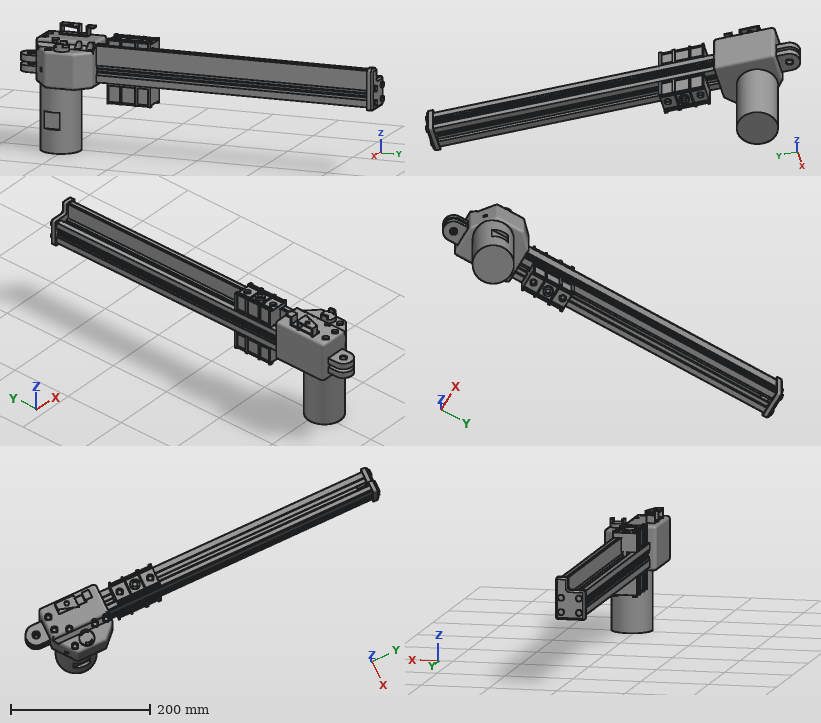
import cadquery as cq


RAIL_HALF = 17.5
RAIL_LENGTH = 418.0
FENCE_LEFT = 7.5
FENCE_TOP = 38.0
FENCE_CHAMFER = 1.5
SLOT_WIDTH = 5.5
MOUTH_LEFT = -9.0
MOUTH_DEPTH = 5.5
SIDE_GROOVE_HALVES = (7.0, 3.5, 1.5)
SIDE_STEP = 1.0
BORE_RADIUS = 9.0
SPINDLE_RADIUS = 5.5
SPINDLE_END_GAP = 14.5

CAP_THICKNESS = 9.5
CAP_MARGIN = 4.0
CAP_FENCE_MARGIN = 1.5
CAP_ROUND = 3.5
CAP_CHAMFER = 3.0
HEAD_RADIUS = 4.5
HEAD_HEIGHT = 2.0
HEAD_X = 13.0
HEAD_Z = 10.5

HOUSING_LEFT = -27.0
HOUSING_RIGHT = 54.0
HOUSING_LENGTH = 91.0
HOUSING_TOP = 42.0
HOUSING_BOTTOM = -23.5
HOUSING_ROUND = 4.5
CORNER_ROUND = 5.0
BACK_CORNER_X = 32.5
RIGHT_SIDE_BACK = -21.0
RIGHT_SIDE_FRONT = -65.5
FRONT_CORNER_X = 21.5
STEP_TOP = 31.0
SLOPE_START_X = 22.0
SLOPE_START_Z = 36.0
SLOPE_END_X = 29.0

SCREW_RADIUS = 5.0
SCREW_DEPTH = 5.5
SCREW_HEAD_RADIUS = 3.5
SCREW_HEAD_HEIGHT = 3.0
HIGH_SCREWS = [(-10.5, -82.0), (10.0, -82.0), (18.0, -62.5)]
SLOPE_SCREWS = [(25.0, -7.0), (25.0, -25.0)]
LOW_SCREWS = [(42.0, -64.5)]

WINDOW_X = 39.0
WINDOW_Z = -0.5
WINDOW_WIDTH = 4.0
WINDOW_HEIGHT = 5.5
WINDOW_FLOOR_Y = -74.5

SOCKET_X = 39.5
SOCKET_Y = -44.5
SOCKET_RADIUS = 11.0
SOCKET_INNER_RADIUS = 8.0
SOCKET_BASE_TOP = 37.0
PRONG_TOP = 42.5
PRONG_WIDTH = 10.0

CLEVIS_HALF = 15.5
CLEVIS_REACH = 15.5
CLEVIS_HOLE_RADIUS = 4.5
CLEVIS_HOLE_CHAMFER = 1.0
CLEVIS_PLATE = 10.0
CLEVIS_GAP = 5.5

MOTOR_X = 21.0
MOTOR_Y = -53.0
MOTOR_RADIUS = 30.0
MOTOR_BOTTOM = -120.0
NOTCH_DEPTH = 5.0
NOTCH_FRONT = 17.5
NOTCH_BACK = 9.0
NOTCH_BOTTOM = -85.0
NOTCH_HEIGHT = 25.5

BRACKET_TOP = 57.0
BRACKET_SHEET = 2.0
BRACKET_LEFT = -21.5
BRACKET_RIGHT = -7.0
STRIP_LEFT = -19.5
BRACKET_BACK = -23.0
BRACKET_FRONT = -67.0
HOOK_REACH = 9.0
LOOP_BACK = -37.5
LOOP_BACK_RIGHT = -2.0
LOOP_FRONT_RIGHT = -11.5
LOOP_HOLE = (-14.5, -51.5)
LOOP_HOLE_RADIUS = 3.5

CARRIAGE_START = 16.5
CARRIAGE_LENGTH = 67.0
CARRIAGE_END = CARRIAGE_START + CARRIAGE_LENGTH
CARRIAGE_HALF = 17.5
CARRIAGE_TOP = 47.5
NOTCH_LEFT = 5.0
TROUGH_HALF = 11.5
TROUGH_DEPTH = 2.0
BOSS_Y = 50.0
BOSS_RADIUS = 7.0
BOSS_HOLE_RADIUS = 4.0
BOSS_TOP = 49.0
RIDGE_GROOVES = (12.0, 14.0)
RIDGE_GROOVE = 1.0
CARRIAGE_SCREW_SPACING = 24.0
CROSS_GROOVE_SPACING = 11.0
CROSS_GROOVE = 1.5
PANEL_DEPTH = 2.0
PANEL_BOTTOM = 21.0
PANELS = [(2.0, 17.5), (22.0, 21.0), (47.0, 16.0)]


def box(x_range, y_range, z_range):
    """Axis-aligned box between the given limits."""
    sizes = [high - low for low, high in (x_range, y_range, z_range)]
    corner = (x_range[0], y_range[0], z_range[0])
    return cq.Workplane("XY").box(*sizes, centered=False).translate(corner)


def cylinder_z(center, radius, z_low, z_high):
    """Upright cylinder."""
    return cq.Workplane("XY", origin=(*center, z_low)).circle(radius).extrude(z_high - z_low)


def along_y(y_low):
    """Workplane whose local axes are X and Z and whose extrusions run toward +Y."""
    return cq.Workplane(cq.Plane(origin=(0, y_low, 0), xDir=(-1, 0, 0), normal=(0, 1, 0)))


def l_section(half, fence_left, fence_top, y_low, length):
    """Square bar with an upright fence on its +X side."""
    square = box((-half, half), (y_low, y_low + length), (-half, half))
    fence = box((fence_left, half), (y_low, y_low + length), (half, fence_top))
    return square.union(fence)


def make_rail():
    """Extrusion with a bore, a wide-mouthed slot from top to bottom and stepped side grooves."""
    rail = l_section(RAIL_HALF, FENCE_LEFT, FENCE_TOP, 0, RAIL_LENGTH)
    rail = rail.faces(">Z").edges("|Y").chamfer(FENCE_CHAMFER)
    slot_half = SLOT_WIDTH / 2
    mouth_floor = RAIL_HALF - MOUTH_DEPTH
    length = (0, RAIL_LENGTH)
    rail = rail.cut(box((-slot_half, slot_half), length, (-RAIL_HALF, RAIL_HALF)))
    for low, high in ((-RAIL_HALF, -mouth_floor), (mouth_floor, RAIL_HALF)):
        rail = rail.cut(box((MOUTH_LEFT, FENCE_LEFT), length, (low, high)))
    for count, half_width in enumerate(SIDE_GROOVE_HALVES, start=1):
        depth = count * SIDE_STEP
        for low in (-RAIL_HALF, RAIL_HALF - depth):
            rail = rail.cut(box((low, low + depth), length, (-half_width, half_width)))
    return rail.cut(along_y(0).circle(BORE_RADIUS).extrude(RAIL_LENGTH))


def make_end_cap():
    """Rounded L-shaped cap with four screw heads on its outer face."""
    cap = l_section(
        RAIL_HALF + CAP_MARGIN,
        FENCE_LEFT - CAP_MARGIN,
        FENCE_TOP + CAP_FENCE_MARGIN,
        RAIL_LENGTH,
        CAP_THICKNESS,
    )
    cap = cap.edges("|Y").fillet(CAP_ROUND)
    cap = cap.faces(">Y").edges().chamfer(CAP_CHAMFER)
    heads = (
        along_y(RAIL_LENGTH + CAP_THICKNESS)
        .rect(2 * HEAD_X, 2 * HEAD_Z, forConstruction=True)
        .vertices()
        .circle(HEAD_RADIUS)
        .extrude(HEAD_HEIGHT)
    )
    return cap.union(heads)


def make_housing_block(top):
    """Rounded block with slanted right-hand corners, up to the given height."""
    block = (
        cq.Workplane("XY", origin=(0, 0, HOUSING_BOTTOM))
        .polyline([
            (HOUSING_LEFT, 0),
            (BACK_CORNER_X, 0),
            (HOUSING_RIGHT, RIGHT_SIDE_BACK),
            (HOUSING_RIGHT, RIGHT_SIDE_FRONT),
            (FRONT_CORNER_X, -HOUSING_LENGTH),
            (HOUSING_LEFT, -HOUSING_LENGTH),
        ])
        .close()
        .extrude(top - HOUSING_BOTTOM)
    )
    block = block.edges("|Z").fillet(CORNER_ROUND)
    return block.faces("<Z or >Z").edges().fillet(HOUSING_ROUND)


def make_housing():
    """Full-height block cut back to a slope on its right, joined to the low block beside it."""
    high_part = (
        cq.Workplane("XZ")
        .moveTo(HOUSING_LEFT, HOUSING_BOTTOM)
        .lineTo(HOUSING_LEFT, HOUSING_TOP)
        .lineTo(SLOPE_START_X - HOUSING_ROUND, HOUSING_TOP)
        .radiusArc((SLOPE_START_X, HOUSING_TOP - HOUSING_ROUND), HOUSING_ROUND)
        .lineTo(SLOPE_START_X, SLOPE_START_Z)
        .lineTo(SLOPE_END_X, STEP_TOP)
        .lineTo(SLOPE_END_X, HOUSING_BOTTOM)
        .close()
        .extrude(HOUSING_LENGTH)
    )
    return make_housing_block(HOUSING_TOP).intersect(high_part).union(make_housing_block(STEP_TOP))


def add_screw_recess(body, center, surface, top):
    """Round recess below the given surface, opened up to the given top, with a head on its floor."""
    floor = surface - SCREW_DEPTH
    body = body.cut(cylinder_z(center, SCREW_RADIUS, floor, top))
    return body.union(cylinder_z(center, SCREW_HEAD_RADIUS, floor, floor + SCREW_HEAD_HEIGHT))


def add_housing_screws(housing):
    """Screw recesses on the high, the sloping and the low area of the housing top."""
    slope_level = (SLOPE_START_Z + STEP_TOP) / 2
    groups = [(HIGH_SCREWS, HOUSING_TOP), (SLOPE_SCREWS, slope_level), (LOW_SCREWS, STEP_TOP)]
    for centers, level in groups:
        for center in centers:
            housing = add_screw_recess(housing, center, level, HOUSING_TOP)
    return housing


def make_window():
    """Cutter for the small window in the slanted front face."""
    return box(
        (WINDOW_X - WINDOW_WIDTH / 2, WINDOW_X + WINDOW_WIDTH / 2),
        (-HOUSING_LENGTH, WINDOW_FLOOR_Y),
        (WINDOW_Z - WINDOW_HEIGHT / 2, WINDOW_Z + WINDOW_HEIGHT / 2),
    )


def make_socket():
    """Disc with two opposite upright prongs."""
    center = (SOCKET_X, SOCKET_Y)
    disc = cylinder_z(center, SOCKET_RADIUS, STEP_TOP, SOCKET_BASE_TOP)
    ring = cylinder_z(center, SOCKET_RADIUS, SOCKET_BASE_TOP, PRONG_TOP)
    ring = ring.cut(cylinder_z(center, SOCKET_INNER_RADIUS, SOCKET_BASE_TOP, PRONG_TOP))
    prong_band = box(
        (SOCKET_X - SOCKET_RADIUS, SOCKET_X + SOCKET_RADIUS),
        (SOCKET_Y - PRONG_WIDTH / 2, SOCKET_Y + PRONG_WIDTH / 2),
        (SOCKET_BASE_TOP, PRONG_TOP),
    )
    return disc.union(ring.intersect(prong_band))


def make_clevis():
    """Two parallel rounded lugs with a common pin hole."""
    center_y = -HOUSING_LENGTH - CLEVIS_REACH
    outline = (
        cq.Workplane("XY")
        .moveTo(-CLEVIS_HALF, -HOUSING_LENGTH)
        .lineTo(-CLEVIS_HALF, center_y)
        .threePointArc((0, center_y - CLEVIS_HALF), (CLEVIS_HALF, center_y))
        .lineTo(CLEVIS_HALF, -HOUSING_LENGTH)
        .close()
    )
    lug = outline.extrude(CLEVIS_PLATE)
    lug = lug.cut(cylinder_z((0, center_y), CLEVIS_HOLE_RADIUS, 0, CLEVIS_PLATE))
    lug = lug.edges("%CIRCLE").edges(cq.selectors.RadiusNthSelector(0)).chamfer(CLEVIS_HOLE_CHAMFER)
    upper = lug.translate((0, 0, CLEVIS_GAP / 2))
    lower = lug.translate((0, 0, -CLEVIS_GAP / 2 - CLEVIS_PLATE))
    return upper, lower


def make_motor():
    """Upright motor can with a notch on its +X side."""
    can = cylinder_z((MOTOR_X, MOTOR_Y), MOTOR_RADIUS, MOTOR_BOTTOM, HOUSING_BOTTOM + HOUSING_ROUND)
    right = MOTOR_X + MOTOR_RADIUS
    notch = box(
        (right - NOTCH_DEPTH, right),
        (MOTOR_Y - NOTCH_FRONT, MOTOR_Y + NOTCH_BACK),
        (NOTCH_BOTTOM, NOTCH_BOTTOM + NOTCH_HEIGHT),
    )
    return can.cut(notch)


def make_bracket():
    """Sheet bracket: base strip, a hook at the back and a closed loop at the front."""
    width = (STRIP_LEFT, BRACKET_RIGHT)
    loop_width = (BRACKET_LEFT, LOOP_FRONT_RIGHT)
    height = (HOUSING_TOP, BRACKET_TOP)
    top_sheet = (BRACKET_TOP - BRACKET_SHEET, BRACKET_TOP)
    bracket = box(
        width, (BRACKET_FRONT, BRACKET_BACK), (HOUSING_TOP, HOUSING_TOP + BRACKET_SHEET)
    )
    bracket = bracket.union(box(width, (BRACKET_BACK - BRACKET_SHEET, BRACKET_BACK), height))
    bracket = bracket.union(box(width, (BRACKET_BACK, BRACKET_BACK + HOOK_REACH), top_sheet))
    for wall_back in (LOOP_BACK, BRACKET_FRONT + BRACKET_SHEET):
        bracket = bracket.union(box(loop_width, (wall_back - BRACKET_SHEET, wall_back), height))
    roof = (
        cq.Workplane("XY", origin=(0, 0, BRACKET_TOP - BRACKET_SHEET))
        .polyline([
            (BRACKET_LEFT, LOOP_BACK),
            (LOOP_BACK_RIGHT, LOOP_BACK),
            (LOOP_FRONT_RIGHT, BRACKET_FRONT),
            (BRACKET_LEFT, BRACKET_FRONT),
        ])
        .close()
        .extrude(BRACKET_SHEET)
    )
    return bracket.union(roof).cut(cylinder_z(LOOP_HOLE, LOOP_HOLE_RADIUS, *top_sheet))


def make_actuator():
    """Rail, spindle, cap, housing, motor, clevis, socket and bracket as one solid."""
    spindle = along_y(0).circle(SPINDLE_RADIUS).extrude(RAIL_LENGTH - SPINDLE_END_GAP)
    actuator = add_housing_screws(make_housing()).cut(make_window())
    for part in (
        make_rail(),
        spindle,
        make_end_cap(),
        make_socket(),
        *make_clevis(),
        make_motor(),
        make_bracket(),
    ):
        actuator = actuator.union(part)
    return actuator


def add_top_details(block, trough_floor):
    """Grooves along both ridges, cross grooves and screw recesses on both sides of the boss."""
    length = (CARRIAGE_START, CARRIAGE_END)
    for start in RIDGE_GROOVES:
        groove = box((start, start + RIDGE_GROOVE), length, (trough_floor, CARRIAGE_TOP))
        block = block.cut(groove).cut(groove.mirror("YZ"))
    for side in (-1, 1):
        groove_y = BOSS_Y + side * CROSS_GROOVE_SPACING
        cross_groove = box(
            (-TROUGH_HALF, TROUGH_HALF),
            (groove_y - CROSS_GROOVE / 2, groove_y + CROSS_GROOVE / 2),
            (trough_floor - CROSS_GROOVE, trough_floor),
        )
        center = (0, BOSS_Y + side * CARRIAGE_SCREW_SPACING)
        block = add_screw_recess(block.cut(cross_groove), center, trough_floor, trough_floor)
    return block


def cut_side_panels(block):
    """Shallow rectangular panels sunk into both sides of a carriage block."""
    for offset, panel_length in PANELS:
        start = CARRIAGE_START + offset
        for low in (-CARRIAGE_HALF, CARRIAGE_HALF - PANEL_DEPTH):
            panel = box(
                (low, low + PANEL_DEPTH), (start, start + panel_length), (PANEL_BOTTOM, CARRIAGE_TOP)
            )
            block = block.cut(panel)
    return block


def make_carriage_block():
    """Upper block: ridged top with a central boss and sunken side panels."""
    length = (CARRIAGE_START, CARRIAGE_END)
    trough_floor = CARRIAGE_TOP - TROUGH_DEPTH
    block = box((-CARRIAGE_HALF, CARRIAGE_HALF), length, (RAIL_HALF, CARRIAGE_TOP))
    block = block.cut(box((-TROUGH_HALF, TROUGH_HALF), length, (trough_floor, CARRIAGE_TOP)))
    block = block.union(cylinder_z((0, BOSS_Y), BOSS_RADIUS, trough_floor, BOSS_TOP))
    block = block.cut(cylinder_z((0, BOSS_Y), BOSS_HOLE_RADIUS, trough_floor, BOSS_TOP))
    return cut_side_panels(add_top_details(block, trough_floor))


def make_carriage():
    """Upper and lower blocks joined through the rail slot by a web and a nut on the spindle."""
    length = (CARRIAGE_START, CARRIAGE_END)
    block = make_carriage_block()
    lower = block.mirror("XY")
    upper = block.cut(box((NOTCH_LEFT, CARRIAGE_HALF), length, (RAIL_HALF, FENCE_TOP)))
    web = box((-SLOT_WIDTH / 2, SLOT_WIDTH / 2), length, (-RAIL_HALF, RAIL_HALF))
    nut = along_y(CARRIAGE_START).circle(BORE_RADIUS).extrude(CARRIAGE_LENGTH)
    screw_hole = along_y(CARRIAGE_START).circle(SPINDLE_RADIUS).extrude(CARRIAGE_LENGTH)
    return upper.union(lower).union(web).union(nut).cut(screw_hole)


actuator = make_actuator()
carriage = make_carriage()

result = cq.Compound.makeCompound([actuator.solids().val(), carriage.solids().val()])